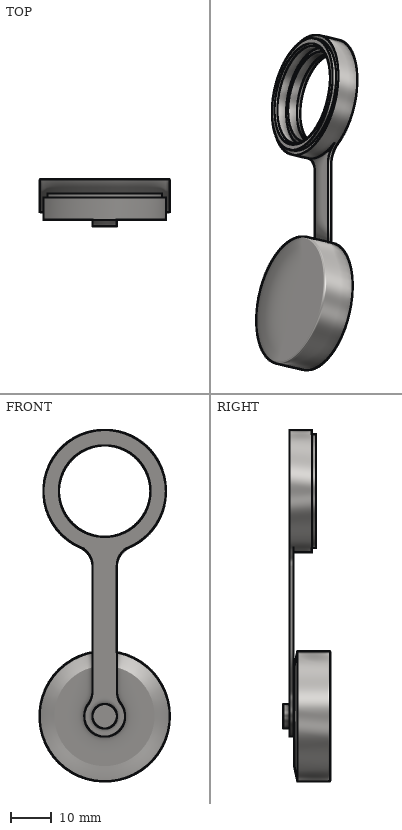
import cadquery as cq
import math


CAP_DIAMETER = 31.9
CAP_DEPTH = 8.85
CAP_FACE_DIAMETER = 24.5
CAP_RIM_DEPTH = 8.05
CAP_BACK_ROUND = 0.5
RIVET_STEM_DIAMETER = 3.0
RIVET_HEAD_DIAMETER = 6.0
RIVET_HEAD_ROUND = 0.2
RIVET_TIP_DEPTH = 11.55

STRAP_THICKNESS = 1.0
STRAP_WIDTH = 6.0
STRAP_FRONT_DEPTH = 10.0
STRAP_BACK_DEPTH = STRAP_FRONT_DEPTH - STRAP_THICKNESS
EYE_DIAMETER = 10.0
NECK_RADIUS = 5.0
RING_HEIGHT = 55.0
RING_DIAMETER = 30.0
PLATE_BORE_DIAMETER = 22.3
RING_BORE_DIAMETER = 22.4
RING_LENGTH = 5.5
LIP_DIAMETER = 27.9
LIP_LENGTH = 1.0
COUNTERBORE_DIAMETER = 24.3
COUNTERBORE_DEPTH = 3.0
COUNTERBORE_CHAMFER = 0.5


def cylinder(diameter, near_depth, far_depth, height=0.0):
    """Cylinder along Y between two depths, centred at the given Z height."""
    plane = cq.Workplane("XZ", origin=(0, -near_depth, height))
    return plane.circle(diameter / 2).extrude(far_depth - near_depth)


def make_cap():
    rim_radius = CAP_DIAMETER / 2
    disc = (
        cq.Workplane("XY")
        .moveTo(0, 0)
        .lineTo(rim_radius, 0)
        .lineTo(rim_radius, -CAP_RIM_DEPTH)
        .lineTo(CAP_FACE_DIAMETER / 2, -CAP_DEPTH)
        .lineTo(0, -CAP_DEPTH)
        .close()
        .revolve(360, (0, 0, 0), (0, 1, 0))
        .faces(">Y")
        .edges()
        .fillet(CAP_BACK_ROUND)
    )
    stem = cylinder(RIVET_STEM_DIAMETER, CAP_DEPTH, STRAP_FRONT_DEPTH)
    head = cylinder(RIVET_HEAD_DIAMETER, STRAP_FRONT_DEPTH, RIVET_TIP_DEPTH)
    head = head.edges().fillet(RIVET_HEAD_ROUND)
    return disc.union(stem).union(head)


def neck(end_diameter, end_height, direction):
    """Plate that blends a round strap end into the straight strap with concave arcs."""
    end_radius = end_diameter / 2
    half_width = STRAP_WIDTH / 2
    arc_x = half_width + NECK_RADIUS
    reach = math.sqrt((end_radius + NECK_RADIUS) ** 2 - arc_x**2)
    touch = end_radius / (end_radius + NECK_RADIUS)
    arc_z = end_height + direction * reach
    start_angle = math.atan2(-reach, -arc_x)
    middle_angle = (start_angle - math.pi) / 2
    middle_x = arc_x + NECK_RADIUS * math.cos(middle_angle)
    middle_z = arc_z + direction * NECK_RADIUS * math.sin(middle_angle)
    touch_x = touch * arc_x
    touch_z = end_height + direction * touch * reach
    return (
        cq.Workplane("XZ", origin=(0, -STRAP_BACK_DEPTH, 0))
        .moveTo(touch_x, touch_z)
        .threePointArc((middle_x, middle_z), (half_width, arc_z))
        .lineTo(-half_width, arc_z)
        .threePointArc((-middle_x, middle_z), (-touch_x, touch_z))
        .close()
        .extrude(STRAP_THICKNESS)
    )


def make_strap():
    ring_back = STRAP_FRONT_DEPTH - RING_LENGTH
    lip_back = ring_back - LIP_LENGTH
    band = (
        cq.Workplane("XZ", origin=(0, -STRAP_BACK_DEPTH, RING_HEIGHT / 2))
        .rect(STRAP_WIDTH, RING_HEIGHT)
        .extrude(STRAP_THICKNESS)
    )
    eye = cylinder(EYE_DIAMETER, STRAP_BACK_DEPTH, STRAP_FRONT_DEPTH)
    ring = cylinder(RING_DIAMETER, ring_back, STRAP_FRONT_DEPTH, RING_HEIGHT)
    lip = cylinder(LIP_DIAMETER, lip_back, ring_back, RING_HEIGHT)
    strap = band.union(eye).union(ring).union(lip)
    strap = strap.union(neck(EYE_DIAMETER, 0, 1))
    strap = strap.union(neck(RING_DIAMETER, RING_HEIGHT, -1))
    plate_bore = cylinder(PLATE_BORE_DIAMETER, STRAP_BACK_DEPTH, STRAP_FRONT_DEPTH, RING_HEIGHT)
    ring_bore = cylinder(RING_BORE_DIAMETER, lip_back, STRAP_BACK_DEPTH, RING_HEIGHT)
    counterbore = cylinder(COUNTERBORE_DIAMETER, lip_back, lip_back + COUNTERBORE_DEPTH, RING_HEIGHT)
    stem_hole = cylinder(RIVET_STEM_DIAMETER, STRAP_BACK_DEPTH, STRAP_FRONT_DEPTH)
    strap = strap.cut(plate_bore).cut(ring_bore).cut(counterbore).cut(stem_hole)
    counterbore_rim = strap.faces(">Y").edges(cq.selectors.RadiusNthSelector(0))
    return counterbore_rim.chamfer(COUNTERBORE_CHAMFER)


cap = make_cap()
strap = make_strap()
result = cq.Compound.makeCompound([cap.val(), strap.val()])